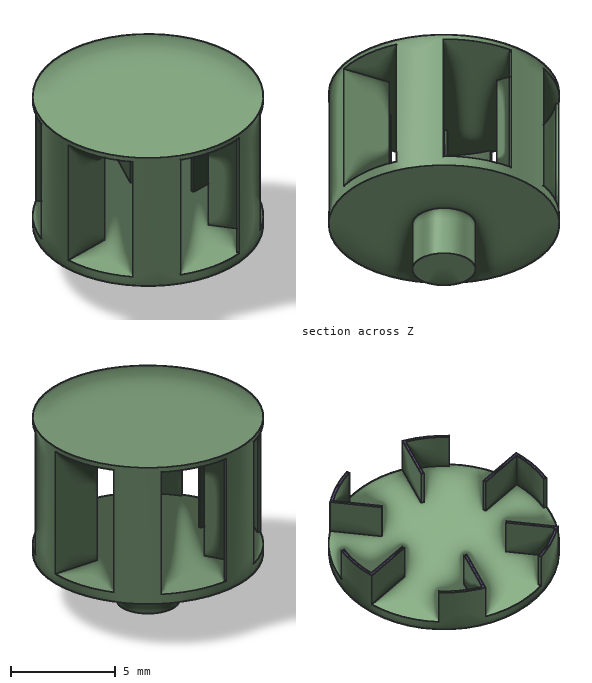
import math

import cadquery as cq

drum_radius = 5.5
base_thickness = 0.5
window_height = 6.5
cap_thickness = 0.25
wall_thickness = 0.15

window_count = 6
window_pitch = 360 / window_count
window_angle = 36

fin_length = 2.5

stem_radius = 1.5
stem_length = 2.5

wall_inner_radius = drum_radius - wall_thickness
fin_inner_radius = drum_radius - fin_length

bay_outer_radius = 1.5 * drum_radius


def polar(radius, angle):
    """Point at a radius and an angle in degrees, counter-clockwise from +X."""
    return (radius * math.cos(math.radians(angle)), radius * math.sin(math.radians(angle)))


def disc(radius, bottom, height):
    return cq.Workplane("XY").workplane(offset=bottom).circle(radius).extrude(height)


def bay(start_angle):
    """Space from one fin face, through the window and behind the next post, to the next fin."""
    fin_root_angle = window_pitch - math.degrees(math.asin(wall_thickness / wall_inner_radius))
    fin_back_angle = window_pitch - math.degrees(math.atan2(wall_thickness, fin_inner_radius))
    fin_back_tip = polar(math.hypot(fin_inner_radius, wall_thickness), fin_back_angle)
    return (
        cq.Workplane("XY")
        .workplane(offset=base_thickness)
        .moveTo(0, 0)
        .lineTo(bay_outer_radius, 0)
        .lineTo(*polar(bay_outer_radius, window_angle))
        .lineTo(*polar(wall_inner_radius, window_angle))
        .threePointArc(
            polar(wall_inner_radius, (window_angle + fin_root_angle) / 2),
            polar(wall_inner_radius, fin_root_angle),
        )
        .lineTo(*fin_back_tip)
        .close()
        .extrude(window_height)
        .rotate((0, 0, 0), (0, 0, 1), start_angle)
    )


drum = disc(drum_radius, 0, base_thickness + window_height + cap_thickness)
stem = disc(stem_radius, -stem_length, stem_length)
core = disc(fin_inner_radius, base_thickness, window_height)

result = drum.union(stem).cut(core)
for index in range(window_count):
    result = result.cut(bay(index * window_pitch))